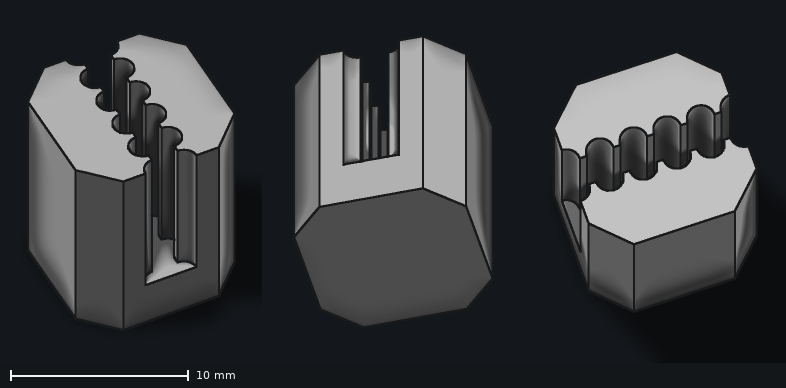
import cadquery as cq

height = 12.0
width = height * 10 / 12
corner_chamfer = width / 5
slot_depth = 9.0
slot_width = 1.61
groove_radius = 0.79
groove_pitch = width / 5
groove_count = 6

slot_floor = height - slot_depth

block = cq.Workplane("XY").box(width, width, height, centered=(True, True, False))
block = block.edges("|Z").chamfer(corner_chamfer)

slot = (
    cq.Workplane("XY", origin=(0, 0, slot_floor))
    .rect(width, slot_width)
    .extrude(slot_depth)
)

groove_centres = []
for index in range(groove_count):
    x = (index - (groove_count - 1) / 2) * groove_pitch
    for side in (-1, 1):
        groove_centres.append((x, side * slot_width / 2))

grooves = (
    cq.Workplane("XY", origin=(0, 0, slot_floor))
    .pushPoints(groove_centres)
    .circle(groove_radius)
    .extrude(slot_depth)
)

result = block.cut(slot).cut(grooves)